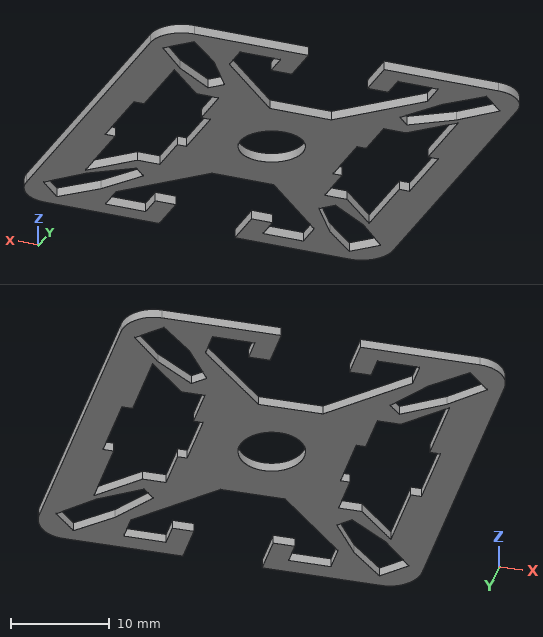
import cadquery as cq

side = 40.0
thickness = 1.0
corner_radius = 3.4
bore_diameter = 6.8
half_side = side / 2

mouth_half_width = 4.1
lip_inner_x = 6.4
lip_end_y = 15.5
slot_roof_y = 18.05
slot_half_width = 10.8
slot_floor_y = 7.7
slot_floor_half_width = 3.35
slot_shoulder_y = slot_floor_y + slot_half_width - slot_floor_half_width

window_inner_x = 9.0
window_inner_recess_x = 8.0
inner_recess_half_height = 3.2
window_outer_x = 15.5
window_outer_recess_x = 16.6
outer_recess_half_height = 3.85
window_shelf_y = 7.9
window_tip_half_height = 11.9
window_shelf_end_x = window_outer_x - (window_tip_half_height - window_shelf_y)

pocket_inner_distance = 14.45
pocket_shoulder_distance = 19.5
pocket_outer_distance = 24.3
pocket_inner_width = 1.8
pocket_shoulder_width = 3.7
pocket_outer_width = 3.45
first_diagonal = 45
quarter_turn = 90


def mirrored_cutter(half_outline, axis):
    """Close a half outline with its reflection across the named axis and extrude it."""
    sign_x, sign_y = (1, -1) if axis == "X" else (-1, 1)
    reflection = [(sign_x * x, sign_y * y) for x, y in reversed(half_outline)]
    return cq.Workplane("XY").polyline(half_outline + reflection).close().extrude(thickness)


def t_slot():
    return mirrored_cutter(
        [
            (slot_floor_half_width, slot_floor_y),
            (slot_half_width, slot_shoulder_y),
            (slot_half_width, slot_roof_y),
            (lip_inner_x, slot_roof_y),
            (lip_inner_x, lip_end_y),
            (mouth_half_width, lip_end_y),
            (mouth_half_width, half_side),
        ],
        "Y",
    )


def side_window():
    return mirrored_cutter(
        [
            (window_inner_recess_x, inner_recess_half_height),
            (window_inner_x, inner_recess_half_height),
            (window_inner_x, window_shelf_y),
            (window_shelf_end_x, window_shelf_y),
            (window_outer_x, window_tip_half_height),
            (window_outer_x, outer_recess_half_height),
            (window_outer_recess_x, outer_recess_half_height),
        ],
        "X",
    )


def corner_pocket(angle):
    pocket = mirrored_cutter(
        [
            (pocket_inner_distance, pocket_inner_width / 2),
            (pocket_shoulder_distance, pocket_shoulder_width / 2),
            (pocket_outer_distance, pocket_outer_width / 2),
        ],
        "X",
    )
    return pocket.rotate((0, 0, 0), (0, 0, 1), angle)


plate = cq.Workplane("XY").rect(side, side).extrude(thickness)
plate = plate.edges("|Z").fillet(corner_radius)
plate = plate.faces(">Z").workplane().hole(bore_diameter)

for cutter in (t_slot(), side_window()):
    plate = plate.cut(cutter)
    plate = plate.cut(cutter.rotate((0, 0, 0), (0, 0, 1), 2 * quarter_turn))

for turn in range(4):
    plate = plate.cut(corner_pocket(first_diagonal + turn * quarter_turn))

result = plate